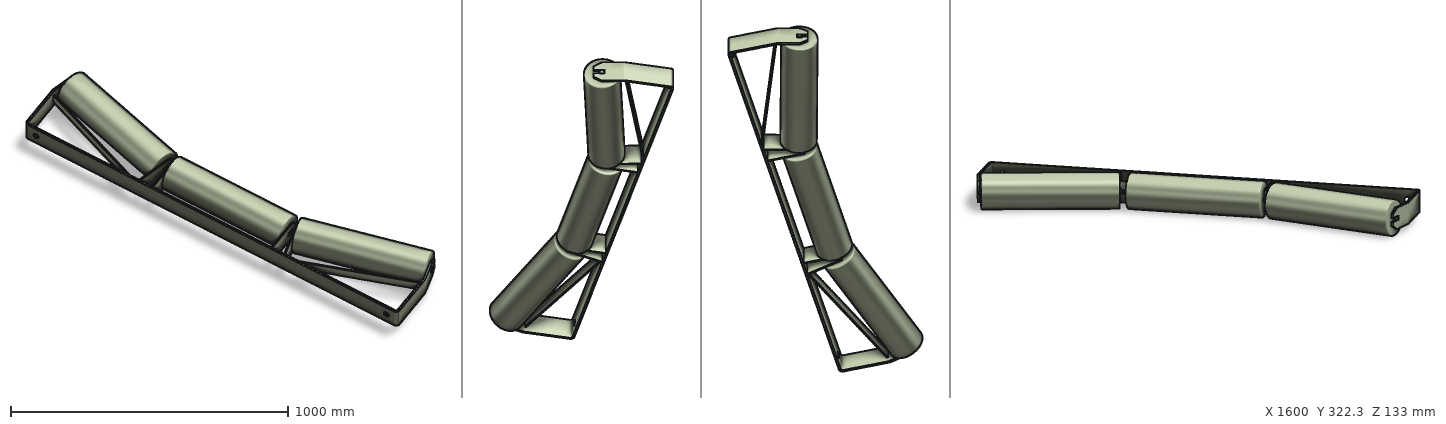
import cadquery as cq
import math


half_length = 800.0
slope = math.radians(15)
bar_width = 80.0
end_gap = 4.0

bar_thickness = 8.0
bend_outer_radius = 15.0
bend_inner_radius = bend_outer_radius - bar_thickness
upright_height = 185.0
inner_bend_x = half_length - bar_thickness
inner_bend_y = upright_height - bar_thickness * math.tan(slope / 2)
tab_length = 110.0
tip_chamfer_length = 29.0
tip_chamfer_width = 18.0
mounting_hole_diameter = 22.0
mounting_hole_x = 752.0

bracket_thickness = 5.0
bracket_height = 149.0
bracket_outer_radius = 10.0
bracket_inner_radius = bracket_outer_radius - bracket_thickness

roller_diameter = 133.0
roller_length = 500.0
roller_edge_radius = 5.0
axle_diameter = 20.0
axle_flat_width = 15.0
axle_stub_length = end_gap + bracket_thickness
center_axis_y = 125.0
wing_axis_offset = 80.0

strut_width = 38.0
strut_thickness = 5.0
strut_top_y = 182.0
strut_foot_x = 325.0

wing_origin = cq.Vector(-half_length, upright_height, 0)
along_wing = cq.Vector(math.cos(slope), -math.sin(slope), 0)
out_of_wing = cq.Vector(math.sin(slope), math.cos(slope), 0)


def wing_point(along, out):
    """Point of the -X wing, measured from its outer bend line."""
    return wing_origin + along_wing * along + out_of_wing * out


wing_roller_start = wing_point(bar_thickness + end_gap, wing_axis_offset)
wing_roller_end = wing_roller_start + along_wing * roller_length


def mirrored(body):
    """The matching body on the other side of X = 0."""
    return body.mirror("YZ")


def extruded_profile(points, width):
    """Solid of the given width, centred on Z = 0, with an XY outline."""
    return cq.Workplane("XY").polyline(points).close().extrude(width / 2, both=True)


def fillet_corner(body, x, y, radius):
    """Round the edge along Z nearest to the given XY corner."""
    return body.edges(cq.selectors.NearestToPointSelector((x, y, 0))).fillet(radius)


def axle_slot(axis_point, axis, up, length, height):
    """Cutter for a slot that takes an axle's flats: it runs from under the axle upward."""
    bottom = -axle_diameter / 2
    slot_plane = cq.Plane(origin=axis_point, xDir=up, normal=axis)
    return (
        cq.Workplane(slot_plane)
        .center((bottom + height) / 2, 0)
        .rect(height - bottom, axle_flat_width)
        .extrude(length)
    )


def frame_profile():
    """Outline of the bent bar: base, uprights and tabs leaning into the trough."""
    tip_outer = wing_point(0, tab_length)
    tip_inner = wing_point(bar_thickness, tab_length)
    left_side = [
        (-half_length, 0),
        (-half_length, upright_height),
        (tip_outer.x, tip_outer.y),
        (tip_inner.x, tip_inner.y),
        (-inner_bend_x, inner_bend_y),
        (-inner_bend_x, bar_thickness),
    ]
    right_side = [(-x, y) for x, y in reversed(left_side)]
    return left_side + right_side


def tab_trim():
    """Material removed from the -X tab: the axle slot and both tip corners."""
    trim = axle_slot(wing_point(0, wing_axis_offset), along_wing, out_of_wing, bar_thickness, tab_length)
    half_width = bar_width / 2
    tip_plane = cq.Plane(origin=wing_point(0, tab_length), xDir=out_of_wing, normal=along_wing)
    for side in (1, -1):
        corner = cq.Workplane(tip_plane).polyline(
            [
                (-tip_chamfer_length, side * half_width),
                (0, side * half_width),
                (0, side * (half_width - tip_chamfer_width)),
            ]
        )
        trim = trim.union(corner.close().extrude(bar_thickness))
    return trim


def make_frame():
    frame = extruded_profile(frame_profile(), bar_width)
    for side in (-1, 1):
        frame = fillet_corner(frame, side * half_length, 0, bend_outer_radius)
        frame = fillet_corner(frame, side * inner_bend_x, bar_thickness, bend_inner_radius)
        frame = fillet_corner(frame, side * half_length, upright_height, bend_outer_radius)
        frame = fillet_corner(frame, side * inner_bend_x, inner_bend_y, bend_inner_radius)
    trim = tab_trim()
    mounting_holes = (
        cq.Workplane("XZ")
        .pushPoints([(-mounting_hole_x, 0), (mounting_hole_x, 0)])
        .circle(mounting_hole_diameter / 2)
        .extrude(-bar_thickness)
    )
    return frame.cut(trim).cut(mirrored(trim)).cut(mounting_holes)


def make_roller(start, axis):
    """Roller with rounded end edges and a flatted axle stub at each end."""
    shell = (
        cq.Workplane(cq.Plane(origin=start, xDir=(0, 0, 1), normal=axis))
        .circle(roller_diameter / 2)
        .extrude(roller_length)
        .edges()
        .fillet(roller_edge_radius)
    )
    axle_length = roller_length + 2 * axle_stub_length
    axle_plane = cq.Plane(origin=start - axis * axle_stub_length, xDir=(0, 0, 1), normal=axis)
    flats = cq.Workplane(axle_plane).rect(axle_flat_width, axle_diameter).extrude(axle_length)
    axle = cq.Workplane(axle_plane).circle(axle_diameter / 2).extrude(axle_length).intersect(flats)
    return shell.union(axle)


def make_bracket():
    """Bent plate that carries the -X wing roller and the centre roller, slotted for both axles."""
    upright_x = -roller_length / 2 - end_gap
    upright_inner_x = upright_x - bracket_thickness
    inner_height = bracket_height - bracket_thickness
    slanted_face = wing_roller_end + along_wing * end_gap

    def slanted_x(y, depth):
        """X of the slanted leg at height y, at a depth behind the face towards the wing roller."""
        return slanted_face.x + (y - slanted_face.y) * math.tan(slope) + depth / math.cos(slope)

    plate = extruded_profile(
        [
            (upright_x, bar_thickness),
            (upright_x, bracket_height),
            (slanted_x(bracket_height, 0), bracket_height),
            (slanted_x(bar_thickness, 0), bar_thickness),
            (slanted_x(bar_thickness, bracket_thickness), bar_thickness),
            (slanted_x(inner_height, bracket_thickness), inner_height),
            (upright_inner_x, inner_height),
            (upright_inner_x, bar_thickness),
        ],
        bar_width,
    )
    plate = fillet_corner(plate, upright_x, bracket_height, bracket_outer_radius)
    plate = fillet_corner(plate, slanted_x(bracket_height, 0), bracket_height, bracket_outer_radius)
    plate = fillet_corner(plate, upright_inner_x, inner_height, bracket_inner_radius)
    plate = fillet_corner(
        plate, slanted_x(inner_height, bracket_thickness), inner_height, bracket_inner_radius
    )
    half_span = (upright_x - slanted_face.x) / 2
    center_axle_entry = cq.Vector(upright_x, center_axis_y, 0)
    center_slot = axle_slot(
        center_axle_entry, cq.Vector(-1, 0, 0), cq.Vector(0, 1, 0), half_span, bracket_height
    )
    wing_slot = axle_slot(slanted_face, along_wing, out_of_wing, half_span, bracket_height)
    return plate.cut(center_slot).cut(wing_slot)


def make_strut():
    """Flat brace from the -X upright down to the base, cut to fit flat against both."""
    angle = math.atan2(strut_top_y - bar_thickness, inner_bend_x - strut_foot_x)
    return extruded_profile(
        [
            (-inner_bend_x, strut_top_y),
            (-strut_foot_x, bar_thickness),
            (-strut_foot_x - strut_thickness / math.sin(angle), bar_thickness),
            (-inner_bend_x, strut_top_y - strut_thickness / math.cos(angle)),
        ],
        strut_width,
    )


frame = make_frame()
center_roller = make_roller(cq.Vector(-roller_length / 2, center_axis_y, 0), cq.Vector(1, 0, 0))
wing_roller = make_roller(wing_roller_start, along_wing)
bracket = make_bracket()
strut = make_strut()

bodies = [frame.val(), center_roller.val()]
for wing_body in (wing_roller, bracket, strut):
    bodies.append(wing_body.val())
    bodies.append(mirrored(wing_body).val())

result = cq.Compound.makeCompound(bodies)